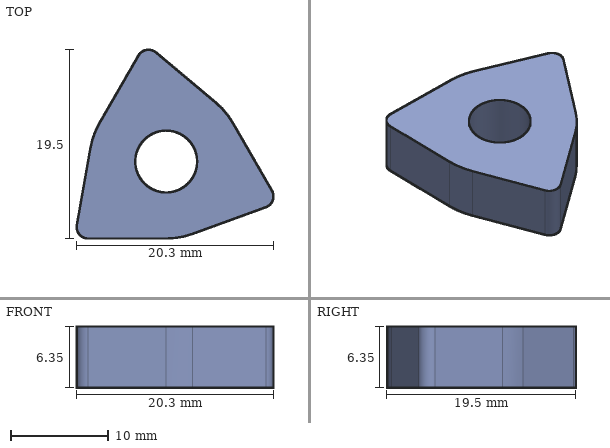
import cadquery as cq
import math

inscribed_diameter = 15.875
thickness = 6.35
hole_diameter = 6.35
nose_radius = 1.2
nose_angle = 80.0
nose_count = 3
first_nose_direction = 220.0

inscribed_radius = inscribed_diameter / 2
nose_pitch = 360.0 / nose_count
half_nose_arc = (180.0 - nose_angle) / 2
flank_arc = nose_pitch - 2 * half_nose_arc
nose_center_distance = (inscribed_radius - nose_radius) / math.sin(math.radians(nose_angle / 2))


def polar(radius, angle, center=(0.0, 0.0)):
    """Point at a radius and an angle in degrees around a center."""
    radians = math.radians(angle)
    return (center[0] + radius * math.cos(radians), center[1] + radius * math.sin(radians))


def insert_outline():
    """Rounded noses joined by straight edges and arcs of the inscribed circle."""
    outline = cq.Workplane("XY").moveTo(*polar(inscribed_radius, first_nose_direction - half_nose_arc))
    for index in range(nose_count):
        direction = first_nose_direction + index * nose_pitch
        nose_start = direction - half_nose_arc
        nose_end = direction + half_nose_arc
        nose_center = polar(nose_center_distance, direction)
        outline = (
            outline.lineTo(*polar(nose_radius, nose_start, nose_center))
            .threePointArc(
                polar(nose_radius, direction, nose_center),
                polar(nose_radius, nose_end, nose_center),
            )
            .lineTo(*polar(inscribed_radius, nose_end))
            .threePointArc(
                polar(inscribed_radius, nose_end + flank_arc / 2),
                polar(inscribed_radius, nose_end + flank_arc),
            )
        )
    return outline.close()


def clamping_hole():
    """Cylinder through the full thickness on the insert axis."""
    return cq.Workplane("XY").circle(hole_diameter / 2).extrude(thickness)


result = insert_outline().extrude(thickness).cut(clamping_hole())